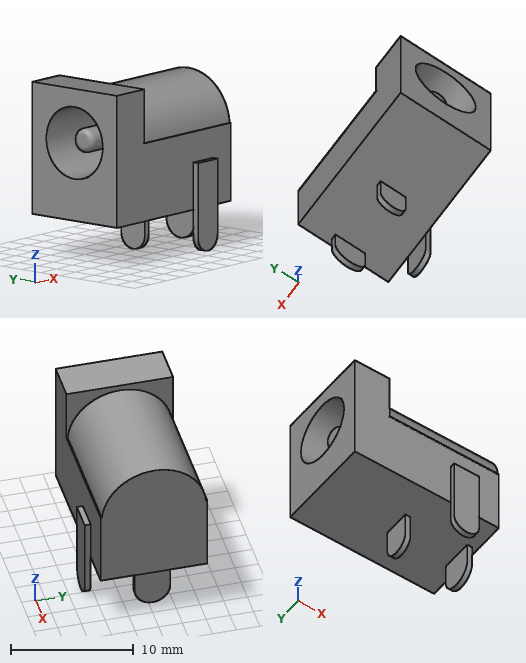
import cadquery as cq
import math

length = 14.5
width = 9.0
flange_height = 11.0
flange_length = 3.5
shoulder_height = 6.5
barrel_radius = 4.42
barrel_top = 10.51
barrel_axis_height = barrel_top - barrel_radius

socket_height = 6.5
socket_radius = 3.0
socket_depth = 10.0
pin_radius = 1.0
pin_tip_setback = 1.0
pin_tip_fillet = 0.5

terminal_thickness = 0.51
wide_drop = 3.5
narrow_drop = 3.48
narrow_width = 2.51
wide_width = 3.0
narrow_end_rise = narrow_width / 2
wide_end_rise = 1.6
narrow_strip = (narrow_width, narrow_drop, narrow_end_rise)
wide_strip = (wide_width, wide_drop, wide_end_rise)
middle_terminal_x = 7.44
rear_terminal_x = length - 2 * terminal_thickness
side_terminal_x = 9.5
side_terminal_top = 4.0
side_terminal_gap = 0.19


def make_housing():
    flange = cq.Workplane("XY").box(flange_length, width, flange_height, centered=(False, True, False))

    arch_rise = shoulder_height - barrel_axis_height
    arch_half_width = math.sqrt(barrel_radius**2 - arch_rise**2)
    rear = (
        cq.Workplane("YZ", origin=(flange_length, 0, 0))
        .moveTo(-width / 2, 0)
        .lineTo(width / 2, 0)
        .lineTo(width / 2, shoulder_height)
        .lineTo(arch_half_width, shoulder_height)
        .threePointArc((0, barrel_top), (-arch_half_width, shoulder_height))
        .lineTo(-width / 2, shoulder_height)
        .close()
        .extrude(length - flange_length)
    )

    socket = cq.Workplane("YZ", origin=(0, 0, socket_height)).circle(socket_radius).extrude(socket_depth)
    return flange.union(rear).cut(socket)


def make_pin():
    return (
        cq.Workplane("YZ", origin=(pin_tip_setback, 0, socket_height))
        .circle(pin_radius)
        .extrude(socket_depth - pin_tip_setback)
        .faces("<X")
        .edges()
        .fillet(pin_tip_fillet)
    )


def make_terminal(plane, top, strip_width, drop, end_rise):
    """Strip centred on the plane's origin, hanging from height top to its rounded tip."""
    half_width = strip_width / 2
    arc_start = end_rise - drop
    return (
        plane.moveTo(-half_width, top)
        .lineTo(half_width, top)
        .lineTo(half_width, arc_start)
        .threePointArc((0, -drop), (-half_width, arc_start))
        .close()
        .extrude(terminal_thickness)
    )


housing = make_housing()
pin = make_pin()

middle_terminal = make_terminal(cq.Workplane("YZ", origin=(middle_terminal_x, 0, 0)), 0, *narrow_strip)
rear_terminal = make_terminal(cq.Workplane("YZ", origin=(rear_terminal_x, 0, 0)), 0, *wide_strip)

side_terminal = make_terminal(
    cq.Workplane("XZ", origin=(side_terminal_x + narrow_width / 2, -width / 2 - side_terminal_gap, 0)),
    side_terminal_top,
    *narrow_strip,
)

result = cq.Compound.makeCompound(
    [housing.val(), pin.val(), middle_terminal.val(), rear_terminal.val(), side_terminal.val()]
)